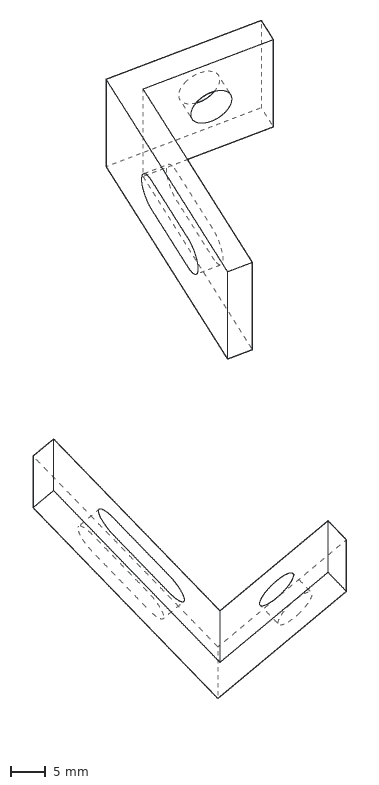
import cadquery as cq

long_leg = 40.0
short_leg = 25.0
height = 20.0
thickness = 4.0

screw_clearance = 6.6
slot_travel = 12.0
slot_center_x = 21.0
hole_to_leg_end = 10.0

mid_height = height / 2
hole_center_y = short_leg - hole_to_leg_end


def make_bracket():
    """Two plates meeting at a square corner on the Z axis."""
    front_plate = cq.Workplane("XY").box(long_leg, thickness, height, centered=False)
    side_plate = cq.Workplane("XY").box(thickness, short_leg, height, centered=False)
    return front_plate.union(side_plate)


def make_slot():
    """Round-ended slot through the long leg, running along X."""
    return (
        cq.Workplane("XZ")
        .center(slot_center_x, mid_height)
        .slot2D(slot_travel + screw_clearance, screw_clearance)
        .extrude(-thickness)
    )


def make_hole():
    """Round hole through the short leg, running along X."""
    return (
        cq.Workplane("YZ")
        .center(hole_center_y, mid_height)
        .circle(screw_clearance / 2)
        .extrude(thickness)
    )


result = make_bracket().cut(make_slot()).cut(make_hole())